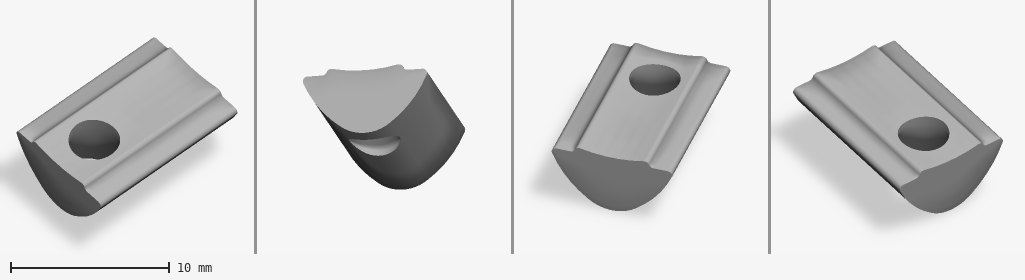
import cadquery as cq
import math

length = 11.5
width = 8.0
height = 4.4

shoulder_drop = 0.4
corner_radius = 0.3
step_radius = 0.3
shoulder_inner_x = 2.75

dish_depth = 0.24
dish_radius = 9.55

keel_radius = 2.6
keel_half_width = 1.6
flank_mid_x = 2.97
flank_mid_z = 1.86
flank_end_angle = math.radians(23)

hole_diameter = 3.25
hole_from_front = 3.0


def point_on(center, radius, angle):
    """Point on a circle, with the angle measured from +X toward +Z."""
    return (center[0] + radius * math.cos(angle), center[1] + radius * math.sin(angle))


def make_half_body():
    """Right half of the section, swept along the full length."""
    shoulder_z = height - shoulder_drop

    corner_center = (width / 2 - corner_radius, shoulder_z - corner_radius)
    corner_top = point_on(corner_center, corner_radius, math.pi / 2)
    corner_mid = point_on(corner_center, corner_radius, math.pi / 4)
    flank_end = point_on(corner_center, corner_radius, -flank_end_angle)

    rise = 2 * step_radius - shoulder_drop
    run = math.sqrt((2 * step_radius) ** 2 - rise ** 2)
    cove_center = (shoulder_inner_x, shoulder_z + step_radius)
    crest_center = (shoulder_inner_x - run, height - step_radius)
    step_angle = math.atan2(rise, run)
    cove_start = (shoulder_inner_x, shoulder_z)
    cove_end_angle = math.pi + step_angle
    cove_mid = point_on(cove_center, step_radius, (cove_end_angle + 3 * math.pi / 2) / 2)
    step_middle = point_on(crest_center, step_radius, step_angle)

    crest_mid = point_on(crest_center, step_radius, (step_angle + math.pi / 2) / 2)
    crest_end = point_on(crest_center, step_radius, math.pi / 2)

    keel_center = (0, keel_radius)
    keel_angle = math.asin(keel_half_width / keel_radius)
    keel_mid = point_on(keel_center, keel_radius, keel_angle / 2 - math.pi / 2)
    keel_end = point_on(keel_center, keel_radius, keel_angle - math.pi / 2)

    return (
        cq.Workplane("XZ", origin=(0, length / 2, 0))
        .moveTo(0, 0)
        .threePointArc(keel_mid, keel_end)
        .threePointArc((flank_mid_x, flank_mid_z), flank_end)
        .threePointArc(corner_mid, corner_top)
        .lineTo(*cove_start)
        .threePointArc(cove_mid, step_middle)
        .threePointArc(crest_mid, crest_end)
        .lineTo(0, height)
        .close()
        .extrude(length)
    )


def make_dish():
    """Long cylinder that hollows the land, leaving a narrow flat at each edge."""
    return (
        cq.Workplane("XZ", origin=(0, length / 2, 0))
        .center(0, height - dish_depth + dish_radius)
        .circle(dish_radius)
        .extrude(length)
    )


def make_hole():
    """Vertical cylinder that passes through the whole height."""
    return (
        cq.Workplane("XY")
        .center(0, hole_from_front - length / 2)
        .circle(hole_diameter / 2)
        .extrude(height)
    )


half_body = make_half_body()
body = half_body.union(half_body.mirror("YZ")).clean()
result = body.cut(make_dish()).cut(make_hole())